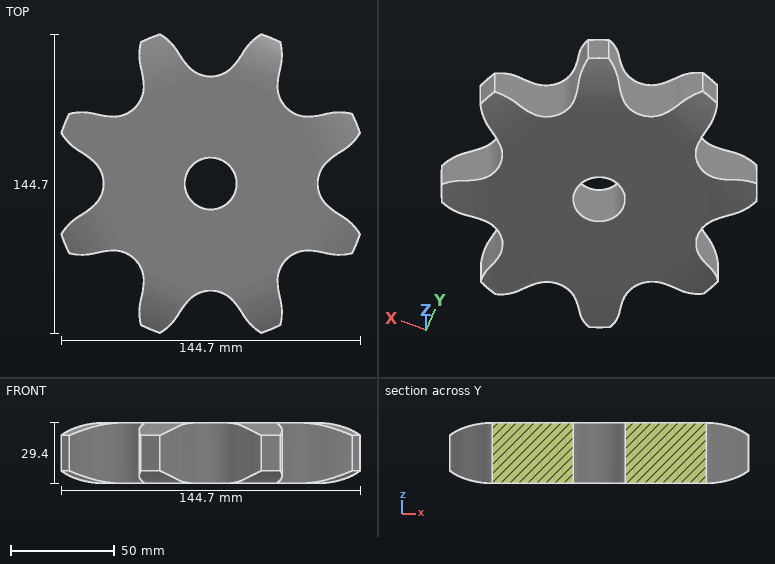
import cadquery as cq
import math

tooth_count = 8
chain_pitch = 50.8
roller_diameter = 28.7
side_length = 144.7
thickness = 29.4
bore_diameter = 25.0
face_radius = 52.3
relief_radius = chain_pitch
seating_clearance = 0.1
cutter_clearance = 7.2


def along(origin, distance, degrees):
    """Point at a distance from origin in the given direction."""
    angle = math.radians(degrees)
    return (origin[0] + distance * math.cos(angle), origin[1] + distance * math.sin(angle))


def turned(point, degrees):
    """Point rotated about the sprocket axis."""
    angle = math.radians(degrees)
    x, y = point
    return (x * math.cos(angle) - y * math.sin(angle), x * math.sin(angle) + y * math.cos(angle))


def mirrored(point):
    """Point reflected across the centre line of the tooth gap at the +Y axis."""
    return (-point[0], point[1])


tooth_step = 360 / tooth_count
half_step = tooth_step / 2
roller_centre = (0, chain_pitch / (2 * math.sin(math.radians(half_step))))
seating_radius = (1.005 * roller_diameter + seating_clearance) / 2
seating_end_angle = -(35 + 60 / tooth_count)
working_sweep = 18 - 56 / tooth_count
working_end_angle = seating_end_angle + working_sweep
flank_centre_offset = 0.8 * roller_diameter
working_centre = along(roller_centre, -flank_centre_offset, seating_end_angle)
working_radius = seating_radius + flank_centre_offset
topping_centre = along(roller_centre, 1.4 * roller_diameter, -half_step)

gap_bottom = along(roller_centre, seating_radius, -90)
seating_end = along(roller_centre, seating_radius, seating_end_angle)
seating_middle = along(roller_centre, seating_radius, (seating_end_angle - 90) / 2)
working_end = along(working_centre, working_radius, working_end_angle)
working_middle = along(working_centre, working_radius, seating_end_angle + working_sweep / 2)

flat_direction = working_end_angle + 90
flat_length = (
    (topping_centre[0] - working_end[0]) * math.cos(math.radians(flat_direction))
    + (topping_centre[1] - working_end[1]) * math.sin(math.radians(flat_direction))
)
flat_end = along(working_end, flat_length, flat_direction)
topping_radius = math.dist(topping_centre, flat_end)

topping_start_angle = working_end_angle + 180
topping_end_angle = 180 - math.degrees(
    math.asin((side_length / 2 - topping_centre[1]) / topping_radius)
)
tip_corner = along(topping_centre, topping_radius, topping_end_angle)
topping_middle = along(topping_centre, topping_radius, (topping_start_angle + topping_end_angle) / 2)
tip_radius = math.hypot(*tip_corner)


def make_toothed_blank():
    outline = cq.Workplane("XY").workplane(offset=-thickness / 2).moveTo(*mirrored(tip_corner))
    for tooth in range(tooth_count):
        turn = -tooth * tooth_step

        def place(point):
            return turned(point, turn)

        def place_left(point):
            return turned(mirrored(point), turn)

        outline = (
            outline
            .threePointArc(place_left(topping_middle), place_left(flat_end))
            .lineTo(*place_left(working_end))
            .threePointArc(place_left(working_middle), place_left(seating_end))
            .threePointArc(place_left(seating_middle), place(gap_bottom))
            .threePointArc(place(seating_middle), place(seating_end))
            .threePointArc(place(working_middle), place(working_end))
            .lineTo(*place(flat_end))
            .threePointArc(place(topping_middle), place(tip_corner))
            .threePointArc(
                along((0, 0), tip_radius, 90 - half_step + turn),
                turned(mirrored(tip_corner), turn - tooth_step),
            )
        )
    return outline.close().extrude(thickness)


def make_relief_cutter():
    """Ring above the curved relief on the upper side of the teeth."""
    arc_centre = (face_radius, thickness / 2 - relief_radius)
    outer_radius = tip_radius + cutter_clearance
    end_angle = math.degrees(math.acos((outer_radius - face_radius) / relief_radius))
    return (
        cq.Workplane("XZ")
        .moveTo(face_radius, thickness / 2)
        .threePointArc(
            along(arc_centre, relief_radius, (90 + end_angle) / 2),
            along(arc_centre, relief_radius, end_angle),
        )
        .lineTo(outer_radius, thickness / 2)
        .close()
        .revolve(360, (0, 0, 0), (0, 1, 0))
    )


relief_cutter = make_relief_cutter()
bore = cq.Workplane("XY").circle(bore_diameter / 2).extrude(thickness, both=True)

result = (
    make_toothed_blank()
    .cut(relief_cutter)
    .cut(relief_cutter.mirror("XY"))
    .cut(bore)
)